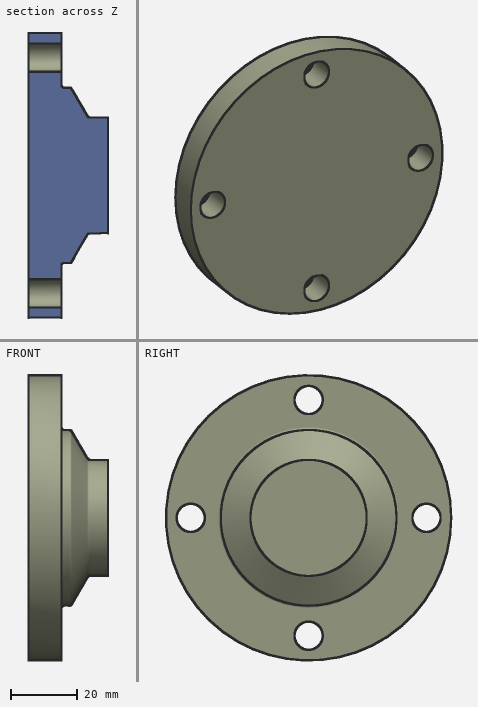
import cadquery as cq

flange_diameter = 86.0
flange_thickness = 10.0
total_length = 24.0

hub_diameter = 53.0
hub_end_x = 12.8
neck_diameter = 35.0
neck_start_x = 18.1
fillet_radius = 0.8

hole_count = 4
hole_diameter = 8.4
bolt_circle_diameter = 71.0


def turned_body():
    """Revolve the half profile; sketch x is the axis, sketch y the radius."""
    profile = (
        cq.Workplane("XY")
        .lineTo(0, flange_diameter / 2)
        .lineTo(flange_thickness, flange_diameter / 2)
        .lineTo(flange_thickness, hub_diameter / 2)
        .lineTo(hub_end_x, hub_diameter / 2)
        .lineTo(neck_start_x, neck_diameter / 2)
        .lineTo(total_length, neck_diameter / 2)
        .lineTo(total_length, 0)
        .close()
    )
    return profile.revolve(360, (0, 0, 0), (1, 0, 0))


def circle_edge_at(x, diameter):
    """Select the circular edge of the given diameter at one axial position."""
    margin = 0.1
    reach = diameter / 2 + margin
    return cq.selectors.BoxSelector(
        (x - margin, -reach, -reach), (x + margin, reach, reach), boundingbox=True
    )


def bolt_holes():
    return (
        cq.Workplane("YZ")
        .polarArray(bolt_circle_diameter / 2, 0, 360, hole_count)
        .circle(hole_diameter / 2)
        .extrude(flange_thickness)
    )


body = turned_body()
body = body.edges(circle_edge_at(flange_thickness, hub_diameter)).fillet(fillet_radius)
body = body.edges(circle_edge_at(hub_end_x, hub_diameter)).fillet(fillet_radius)
body = body.edges(circle_edge_at(neck_start_x, neck_diameter)).fillet(fillet_radius)
result = body.cut(bolt_holes())